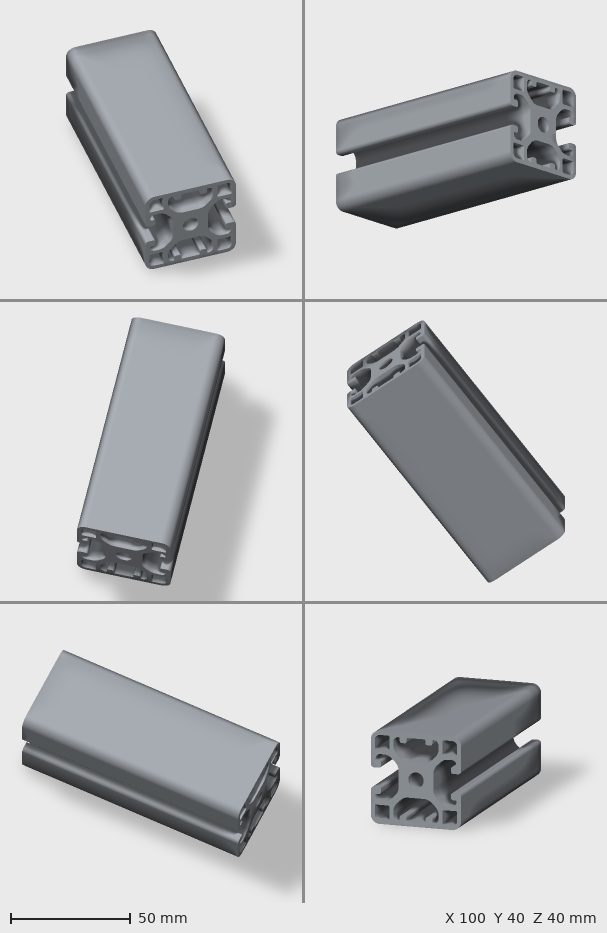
import cadquery as cq
import math

length = 100.0
side = 40.0
half = side / 2
corner_radius = 4.0
bore_diameter = 6.8

chamber_wall = 1.8
chamber_inner = 11.8
chamber_outer = half - chamber_wall
chamber_radius = corner_radius - chamber_wall
chamber_small_radius = 0.5

cavity_floor = 7.7
cavity_roof = 17.9
cavity_half_width = 10.0
cavity_bend_radius = 5.0
cavity_roof_radius = 2.2
web_thickness = 3.0
web_offset = web_thickness / math.sqrt(2)
cavity_upper_bend = cavity_half_width + web_offset

mouth_half_width = 4.1
mouth_radius = 1.5
lip_width = 3.1
lip_outer = mouth_half_width + lip_width
lip_end = 15.5
lip_radius = 0.9
lip_root_radius = 0.5

pick_margin = 0.1


def bar_between(y_min, y_max, z_min, z_max):
    """Full-length rectangular bar spanning the given Y and Z limits."""
    section = cq.Workplane("YZ").center((y_min + y_max) / 2, (z_min + z_max) / 2)
    return section.rect(y_max - y_min, z_max - z_min).extrude(length)


def edges_within(half_width, z_min, z_max):
    """Selector for edges centred within a box that is symmetric about Y = 0."""
    reach = half_width + pick_margin
    return cq.selectors.BoxSelector((0, -reach, z_min), (length, reach, z_max))


def make_lip():
    """Lip on the +Y side of the mouth, with its two free edges rounded."""
    lip = bar_between(mouth_half_width, lip_outer, lip_end, half)
    return lip.faces("<Z").edges("|X").fillet(lip_radius)


def make_cavity():
    """Slot space facing +Z: its slopes follow the diagonal webs and the lips hang from its roof."""
    right_side = [
        (cavity_floor - web_offset, cavity_floor),
        (cavity_half_width, cavity_upper_bend),
        (cavity_half_width, cavity_roof),
    ]
    left_side = [(-y, z) for y, z in reversed(right_side)]
    cavity = cq.Workplane("YZ").polyline(right_side + left_side).close().extrude(length)
    cavity = cavity.faces(">Z").edges("|X").fillet(cavity_roof_radius)

    bends = edges_within(cavity_half_width, 0, cavity_upper_bend + pick_margin)
    cavity = cavity.edges("|X").edges(bends).fillet(cavity_bend_radius)

    lip = make_lip()
    cavity = cavity.cut(lip).cut(lip.mirror("XZ"))
    lip_roots = edges_within(lip_outer, cavity_roof - pick_margin, half)
    return cavity.edges("|X").edges(lip_roots).fillet(lip_root_radius)


def make_chamber():
    """Chamber in the +Y +Z corner, rounded most towards the outside of the bar."""
    chamber = bar_between(chamber_inner, chamber_outer, chamber_inner, chamber_outer)
    outside_edge = "|X and >Y and >Z"
    chamber = chamber.edges(f"|X and (not ({outside_edge}))").fillet(chamber_small_radius)
    nearest_corner = cq.selectors.NearestToPointSelector((length / 2, half, half))
    return chamber.edges(nearest_corner).fillet(chamber_radius)


def turned(body, angle):
    """Turn a body about the axis of the bar."""
    return body.rotate((0, 0, 0), (1, 0, 0), angle)


profile = bar_between(-half, half, -half, half).edges("|X").fillet(corner_radius)
profile = profile.cut(cq.Workplane("YZ").circle(bore_diameter / 2).extrude(length))

chamber = make_chamber()
cavity = make_cavity()
for angle in (0, 90, 180, 270):
    profile = profile.cut(turned(chamber, angle))
    profile = profile.cut(turned(cavity, angle))

mouth = bar_between(-mouth_half_width, mouth_half_width, lip_end, half)
for angle in (90, 270):
    profile = profile.cut(turned(mouth, angle))

mouth_limit = mouth_half_width + pick_margin
mouth_edges = edges_within(half, -mouth_limit, mouth_limit)
profile = profile.faces("<Y or >Y").edges("|X").edges(mouth_edges).fillet(mouth_radius)

result = profile